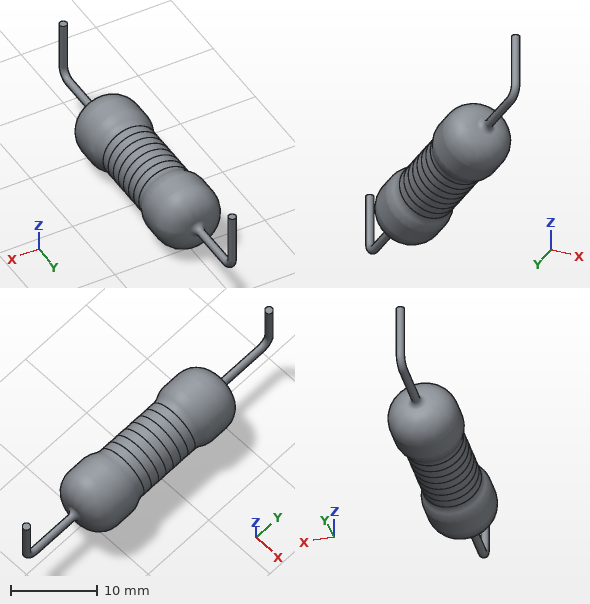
import cadquery as cq
import math

overall_length = 41.0
overall_height = 12.0
lead_diameter = 1.0
lead_radius = lead_diameter / 2
bend_radius = 1.48
lead_end = overall_length / 2 - lead_radius

cap_radius = 8.4 / 2
lead_top = overall_height - cap_radius
waist_radius = 7.15 / 2
band_radius = 7.18 / 2
body_half_length = 11.97
end_rounding = 2.95
meniscus_radius = cap_radius - end_rounding - lead_radius

stretch_count = 7
waist_length = 8.45
waist_half_length = waist_length / 2
stretch_width = waist_length / stretch_count
shoulder_length = 2 * stretch_width
cap_inner_end = waist_half_length + shoulder_length

ARC_MIDDLE = math.sqrt(0.5)


def make_body_end():
    """Revolve the +Y end of the body: S-shaped shoulder, rounded cap and meniscus."""
    shoulder_middle = (
        (waist_radius + cap_radius) / 2,
        waist_half_length + shoulder_length / 2,
    )
    rise = (cap_radius - waist_radius) / 2
    run = shoulder_length / 2
    shoulder_radius = (rise**2 + run**2) / (2 * rise)

    flat_radius = cap_radius - end_rounding
    rounding_start = body_half_length - end_rounding
    rounding_middle = (
        flat_radius + end_rounding * ARC_MIDDLE,
        rounding_start + end_rounding * ARC_MIDDLE,
    )
    meniscus_end = body_half_length + meniscus_radius
    meniscus_middle = (
        flat_radius - meniscus_radius * ARC_MIDDLE,
        meniscus_end - meniscus_radius * ARC_MIDDLE,
    )
    profile = (
        cq.Workplane("XY")
        .moveTo(cap_radius, rounding_start)
        .threePointArc(rounding_middle, (flat_radius, body_half_length))
        .threePointArc(meniscus_middle, (lead_radius, meniscus_end))
        .lineTo(0, meniscus_end)
        .lineTo(0, waist_half_length)
        .lineTo(waist_radius, waist_half_length)
        .radiusArc(shoulder_middle, shoulder_radius)
        .radiusArc((cap_radius, cap_inner_end), -shoulder_radius)
        .close()
    )
    return profile.revolve(360, (0, 0, 0), (0, 1, 0))


def make_cylinder(radius, start, length):
    """Cylinder along +Y, centered on the body axis."""
    return cq.Workplane("XZ", origin=(0, start, 0)).circle(radius).extrude(-length)


def make_lead():
    """Sweep one round wire through the body and up at both ends."""
    bend_start = lead_end - bend_radius
    bend_middle_y = bend_start + bend_radius * ARC_MIDDLE
    bend_middle_z = bend_radius * (1 - ARC_MIDDLE)
    path = (
        cq.Workplane("YZ")
        .moveTo(-lead_end, lead_top)
        .lineTo(-lead_end, bend_radius)
        .threePointArc((-bend_middle_y, bend_middle_z), (-bend_start, 0))
        .lineTo(bend_start, 0)
        .threePointArc((bend_middle_y, bend_middle_z), (lead_end, bend_radius))
        .lineTo(lead_end, lead_top)
    )
    return (
        cq.Workplane("XY", origin=(0, -lead_end, lead_top))
        .circle(lead_radius)
        .sweep(path)
    )


body = make_cylinder(waist_radius, -waist_half_length, waist_length)
for index in range(0, stretch_count, 2):
    band_start = -waist_half_length + index * stretch_width
    body = body.union(make_cylinder(band_radius, band_start, stretch_width))

body_end = make_body_end()
body = body.union(body_end).union(body_end.mirror("XZ"))

result = body.union(make_lead())